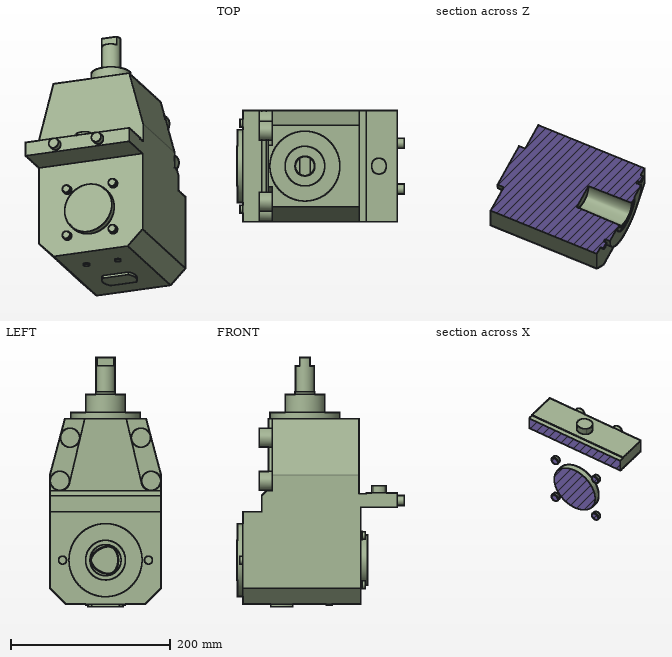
import cadquery as cq
import math


overall_height = 313.95

body_width = 140.0
body_left_x = -78.1
body_right_x = 70.3
body_bottom_z = -55.4
bottom_chamfer = 20.0
body_top_z = 178.0
slope_start_z = 107.2
top_half_width = 51.2
step_x = -54.5
step_z = 61.0
ledge_z = 87.3
ledge_chamfer = 6.0
panel_x = -46.0
upper_right_x = 68.3

plate_end_x = 116.4
plate_bottom_z = 66.4
plate_top_z = 84.5
plate_relief_z = 83.6
plate_relief_x = 77.3
button_center_x = 93.1
button_corner = 7.0
button_reach_x = 9.2
button_reach_y = 10.0
button_top_z = 93.8
plate_pin_diameter = 13.0
plate_pin_y = 28.8
plate_pin_z = 75.0
plate_pin_end_x = 125.0

bolt_seat_x = -41.2
bolt_head_x = -57.5
bolt_head_diameter = 24.0
bolt_seat_diameter = 25.0
upper_bolt_y = 44.6
upper_bolt_z = 154.0
lower_bolt_y = 57.4
lower_bolt_z = ledge_z + bolt_seat_diameter / 2

flange_diameter = 88.0
flange_top_z = 185.8
hub_diameter = 50.0
hub_top_z = 208.4
collar_diameter = 25.0
collar_top_z = 212.0
shaft_diameter = 24.0
shaft_top_z = 255.1
tang_thickness = 13.0
tang_length = 10.8

output_flange_diameter = 92.0
output_flange_x = -84.9
spindle_diameter = 50.0
spindle_x = -85.8
bore_recess_diameter = 39.2
bore_recess_depth = 0.5
bore_depth = 60.0
lobe_count = 3
lobe_rise = 1.2
bore_mouth_radius = 17.6
bore_end_radius = 16.7
points_per_lobe = 8
output_screw_diameter = 10.0
output_screw_y = 54.0
output_screw_x = -81.9

cover_diameter = 63.6
cover_x = 78.9
cover_screw_offset = 31.0
cover_screw_base_diameter = 10.5
cover_screw_base_x = 71.9
cover_screw_diameter = 10.0
cover_screw_x = 76.1

foot_center_x = -29.1
foot_diameter = 44.4
foot_width = 28.0
foot_bottom_z = shaft_top_z - overall_height
peg_diameter = 7.6
peg_x = 30.5
peg_y = 21.2
peg_bottom_z = -57.0


def rod_x(diameter, x_start, x_end, y=0.0, z=0.0):
    """Cylinder parallel to X between two X positions."""
    return (
        cq.Workplane("YZ", origin=(x_start, y, z))
        .circle(diameter / 2)
        .extrude(x_end - x_start)
    )


def rod_z(diameter, z_start, z_end, x=0.0, y=0.0):
    """Cylinder parallel to Z between two Z positions."""
    return (
        cq.Workplane("XY", origin=(x, y, z_start))
        .circle(diameter / 2)
        .extrude(z_end - z_start)
    )


def make_housing():
    """Stepped side outline, trimmed to the tapered outline seen along X."""
    side = (
        cq.Workplane("XZ")
        .moveTo(body_left_x, body_bottom_z)
        .lineTo(body_left_x, step_z)
        .lineTo(step_x, step_z)
        .lineTo(step_x, ledge_z - ledge_chamfer)
        .lineTo(step_x + ledge_chamfer, ledge_z)
        .lineTo(panel_x, ledge_z)
        .lineTo(panel_x, body_top_z)
        .lineTo(upper_right_x, body_top_z)
        .lineTo(upper_right_x, plate_relief_z)
        .lineTo(plate_relief_x, plate_relief_z)
        .lineTo(plate_relief_x, plate_top_z)
        .lineTo(plate_end_x, plate_top_z)
        .lineTo(plate_end_x, plate_bottom_z)
        .lineTo(body_right_x, plate_bottom_z)
        .lineTo(body_right_x, body_bottom_z)
        .close()
        .extrude(body_width / 2, both=True)
    )
    half = body_width / 2
    outline = (
        cq.Workplane("YZ", origin=(body_left_x, 0, 0))
        .moveTo(half - bottom_chamfer, body_bottom_z)
        .lineTo(half, body_bottom_z + bottom_chamfer)
        .lineTo(half, slope_start_z)
        .lineTo(top_half_width, body_top_z)
        .lineTo(-top_half_width, body_top_z)
        .lineTo(-half, slope_start_z)
        .lineTo(-half, body_bottom_z + bottom_chamfer)
        .lineTo(bottom_chamfer - half, body_bottom_z)
        .close()
        .extrude(plate_end_x - body_left_x)
    )
    return side.intersect(outline)


def bolt_seat_cut(side):
    """Recess beside the raised panel; its inner edge is tangent to both bolt seats."""
    radius = bolt_seat_diameter / 2
    run_y = lower_bolt_y - upper_bolt_y
    run_z = upper_bolt_z - lower_bolt_z
    tilt = math.atan2(run_y, run_z)
    tangent_y = lower_bolt_y - radius * math.cos(tilt)
    tangent_z = lower_bolt_z - radius * math.sin(tilt)
    top_y = tangent_y - (body_top_z - tangent_z) * math.tan(tilt)
    middle_angle = (tilt + math.pi / 2) / 2
    middle_y = lower_bolt_y - radius * math.cos(middle_angle)
    middle_z = lower_bolt_z - radius * math.sin(middle_angle)
    return (
        cq.Workplane("YZ", origin=(panel_x, 0, 0))
        .moveTo(side * top_y, body_top_z)
        .lineTo(side * tangent_y, tangent_z)
        .threePointArc((side * middle_y, middle_z), (side * lower_bolt_y, ledge_z))
        .lineTo(side * body_width / 2, ledge_z)
        .lineTo(side * body_width / 2, body_top_z)
        .close()
        .extrude(bolt_seat_x - panel_x)
    )


def add_clamping_bolts(part):
    for side in (-1, 1):
        part = part.cut(bolt_seat_cut(side))
    for side in (-1, 1):
        for y, z in ((upper_bolt_y, upper_bolt_z), (lower_bolt_y, lower_bolt_z)):
            part = part.union(rod_x(bolt_head_diameter, bolt_head_x, bolt_seat_x, side * y, z))
    return part


def make_input_shaft():
    shaft = rod_z(flange_diameter, body_top_z, flange_top_z)
    shaft = shaft.union(rod_z(hub_diameter, flange_top_z, hub_top_z))
    shaft = shaft.union(rod_z(collar_diameter, hub_top_z, collar_top_z))
    tang_start_z = shaft_top_z - tang_length
    shaft = shaft.union(rod_z(shaft_diameter, collar_top_z, tang_start_z))
    tang_slab = (
        cq.Workplane("XY", origin=(0, 0, tang_start_z))
        .rect(tang_thickness, shaft_diameter)
        .extrude(tang_length)
    )
    tang = rod_z(shaft_diameter, tang_start_z, shaft_top_z).intersect(tang_slab)
    return shaft.union(tang)


def lobed_points(mean_radius):
    """Points on a rounded three-lobed curve of constant width, one lobe toward +Y."""
    count = lobe_count * points_per_lobe
    points = []
    for i in range(count):
        angle = 2 * math.pi * i / count
        support = mean_radius + lobe_rise * math.cos(lobe_count * angle)
        slope = -lobe_count * lobe_rise * math.sin(lobe_count * angle)
        y = support * math.cos(angle) - slope * math.sin(angle)
        z = support * math.sin(angle) + slope * math.cos(angle)
        points.append((y, z))
    return points


def make_bore():
    """Shallow round recess followed by a tapered three-lobed socket."""
    recess = rod_x(bore_recess_diameter, spindle_x, spindle_x + bore_recess_depth)
    socket = (
        cq.Workplane("YZ", origin=(spindle_x, 0, 0))
        .spline(lobed_points(bore_mouth_radius), periodic=True)
        .close()
        .workplane(offset=bore_depth)
        .spline(lobed_points(bore_end_radius), periodic=True)
        .close()
        .loft(ruled=True)
    )
    return recess.union(socket)


def add_output_spindle(part):
    part = part.union(rod_x(output_flange_diameter, output_flange_x, body_left_x))
    part = part.union(rod_x(spindle_diameter, spindle_x, output_flange_x))
    for side in (-1, 1):
        part = part.union(rod_x(output_screw_diameter, output_screw_x, body_left_x, side * output_screw_y))
    return part.cut(make_bore())


def add_bearing_cover(part):
    part = part.union(rod_x(cover_diameter, body_right_x, cover_x))
    for y in (-cover_screw_offset, cover_screw_offset):
        for z in (-cover_screw_offset, cover_screw_offset):
            part = part.union(rod_x(cover_screw_base_diameter, body_right_x, cover_screw_base_x, y, z))
            part = part.union(rod_x(cover_screw_diameter, cover_screw_base_x, cover_screw_x, y, z))
    return part


def add_plate_fittings(part):
    """Bulged square button on top of the plate and two pins in its end face."""
    button = (
        cq.Workplane("XY", origin=(button_center_x, 0, plate_top_z))
        .moveTo(-button_corner, -button_corner)
        .threePointArc((0, -button_reach_y), (button_corner, -button_corner))
        .threePointArc((button_reach_x, 0), (button_corner, button_corner))
        .threePointArc((0, button_reach_y), (-button_corner, button_corner))
        .threePointArc((-button_reach_x, 0), (-button_corner, -button_corner))
        .close()
        .extrude(button_top_z - plate_top_z)
    )
    part = part.union(button)
    for side in (-1, 1):
        pin = rod_x(plate_pin_diameter, plate_end_x, plate_pin_end_x, side * plate_pin_y, plate_pin_z)
        part = part.union(pin)
    return part


def add_underside(part):
    """Round foot with two flat sides, and two locating pegs."""
    foot_slab = (
        cq.Workplane("XY", origin=(foot_center_x, 0, foot_bottom_z))
        .rect(foot_width, foot_diameter)
        .extrude(body_bottom_z - foot_bottom_z)
    )
    foot = rod_z(foot_diameter, foot_bottom_z, body_bottom_z, foot_center_x).intersect(foot_slab)
    part = part.union(foot)
    for side in (-1, 1):
        part = part.union(rod_z(peg_diameter, peg_bottom_z, body_bottom_z, peg_x, side * peg_y))
    return part


housing = add_clamping_bolts(make_housing())
housing = housing.union(make_input_shaft())
housing = add_output_spindle(housing)
housing = add_bearing_cover(housing)
housing = add_plate_fittings(housing)
result = add_underside(housing)